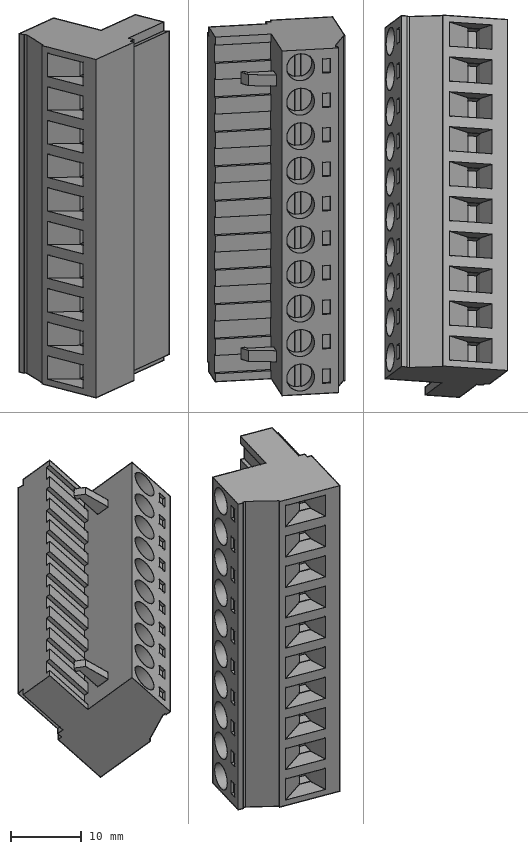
import cadquery as cq
import math


WIDTH = 15.1
DEPTH = 18.15
HEIGHT = 51.0

POLE_COUNT = 10
PITCH = 5.1

BODY_BACK = 10.1
SHOULDER_BACK = 9.0
LIP_Y = 2.0
LIP_WIDTH = 0.8
LIP_STEP = 0.2
SLOPE_START_X = 1.3
SLOPE_END_X = 5.55
SLOPE_END_Y = 0.25

PLUG_LEFT = 8.4
PLUG_RIGHT = 14.45
RAIL_WIDTH = 0.95
RAIL_START_Y = 9.8
RAIL_END_GAP = 1.35
RAIL_END_RISE = 0.2
GROOVE_HEIGHT = 2.7
GROOVE_DEPTH = 0.6

ENTRY_SPAN = 45.6
ENTRY_PITCH = ENTRY_SPAN / (POLE_COUNT - 1)
ENTRY_HEIGHT = 3.5
ENTRY_LEFT = 6.5
ENTRY_RIGHT = 12.8
THROAT_LEFT = 10.1
THROAT_RIGHT = 11.9
FUNNEL_DEPTH = 2.85
THROAT_DEPTH = 4.6
THROAT_STEP = 0.05

SCREW_Y = 7.45
SCREW_HOLE_DIAMETER = 4.0
SCREW_RECESS = 2.05
DRIVE_SLOT_WIDTH = 0.85
DRIVE_SLOT_DEPTH = 0.25
TEST_SLOT_Y = 3.7
TEST_SLOT_WIDTH = 1.1
TEST_SLOT_HEIGHT = 2.1
TEST_SLOT_DEPTH = 0.4

LATCH_HEIGHT = 1.65
LATCH_DROP = 0.6
LATCH_BASE_LEFT = 4.55
LATCH_BACK_X = 6.55
LATCH_KNEE = (5.4, 13.9)
LATCH_TIP = (6.8, 14.8)
LATCH_HOOK = (7.1, 14.25)
LATCH_HOOK_ROOT_Y = 13.85


def row_heights(pitch):
    """Heights of one feature per pole, evenly spaced about mid-height."""
    return [(i - (POLE_COUNT - 1) / 2) * pitch for i in range(POLE_COUNT)]


def prism(points, height, z_centre=0.0):
    """Extrude an XY outline, centred on a height."""
    base = cq.Workplane("XY").workplane(offset=z_centre - height / 2)
    return base.polyline(points).close().extrude(height)


def box(x_range, y_range, height, z_centre=0.0):
    """Box from its X limits, Y limits and height, centred on a height."""
    (x0, x1), (y0, y1) = x_range, y_range
    return prism([(x0, y0), (x1, y0), (x1, y1), (x0, y1)], height, z_centre)


def make_body():
    """Housing and plug as one outline."""
    return prism(
        [
            (0, LIP_Y),
            (LIP_WIDTH, LIP_Y),
            (LIP_WIDTH, LIP_Y + LIP_STEP),
            (SLOPE_START_X, LIP_Y + LIP_STEP),
            (SLOPE_END_X, SLOPE_END_Y),
            (SLOPE_END_X, 0),
            (WIDTH, 0),
            (WIDTH, SHOULDER_BACK),
            (PLUG_RIGHT, SHOULDER_BACK),
            (PLUG_RIGHT, DEPTH),
            (PLUG_LEFT, DEPTH),
            (PLUG_LEFT, BODY_BACK),
            (0, BODY_BACK),
        ],
        HEIGHT,
    )


def make_rail_end_gap():
    """Gap above the top end of the rail, floored by an arc that starts level at the plug."""
    radius = (RAIL_WIDTH**2 + RAIL_END_RISE**2) / (2 * RAIL_END_RISE)
    half_angle = math.asin(RAIL_WIDTH / radius) / 2
    inner_x = PLUG_RIGHT - RAIL_WIDTH
    floor_z = HEIGHT / 2 - RAIL_END_GAP
    arc_middle = (
        inner_x + radius * math.sin(half_angle),
        floor_z + radius * (1 - math.cos(half_angle)),
    )
    return (
        cq.Workplane("XZ", origin=(0, DEPTH, 0))
        .moveTo(inner_x, floor_z)
        .threePointArc(arc_middle, (PLUG_RIGHT, floor_z + RAIL_END_RISE))
        .lineTo(PLUG_RIGHT, HEIGHT / 2)
        .lineTo(inner_x, HEIGHT / 2)
        .close()
        .extrude(DEPTH - RAIL_START_Y)
    )


def make_latch(z_centre):
    """Tapered latch arm with a hooked tip turned towards the plug."""
    outline = [
        (LATCH_BASE_LEFT, BODY_BACK),
        LATCH_KNEE,
        LATCH_TIP,
        LATCH_HOOK,
        (LATCH_BACK_X, LATCH_HOOK_ROOT_Y),
        (LATCH_BACK_X, BODY_BACK),
    ]
    return prism(outline, LATCH_HEIGHT, z_centre)


def make_wire_entry(z_centre):
    """Funnel narrowing sideways into a slightly lower throat."""
    funnel = prism(
        [
            (ENTRY_LEFT, 0),
            (ENTRY_RIGHT, 0),
            (THROAT_RIGHT, FUNNEL_DEPTH),
            (THROAT_LEFT, FUNNEL_DEPTH),
        ],
        ENTRY_HEIGHT,
        z_centre,
    )
    throat_height = ENTRY_HEIGHT - 2 * THROAT_STEP
    throat = box((THROAT_LEFT, THROAT_RIGHT), (FUNNEL_DEPTH, THROAT_DEPTH), throat_height, z_centre)
    return funnel.union(throat)


def make_screw_recess(z_centre):
    """Round recess down to the screw head, with the drive slot cut across the head."""
    hole = (
        cq.Workplane("YZ")
        .center(SCREW_Y, z_centre)
        .circle(SCREW_HOLE_DIAMETER / 2)
        .extrude(SCREW_RECESS + DRIVE_SLOT_DEPTH)
    )
    recess_x = (0, SCREW_RECESS)
    slot_x = (SCREW_RECESS, SCREW_RECESS + DRIVE_SLOT_DEPTH)
    hole_y = (SCREW_Y - SCREW_HOLE_DIAMETER / 2, SCREW_Y + SCREW_HOLE_DIAMETER / 2)
    slot_y = (SCREW_Y - DRIVE_SLOT_WIDTH / 2, SCREW_Y + DRIVE_SLOT_WIDTH / 2)
    recess_space = box(recess_x, hole_y, SCREW_HOLE_DIAMETER, z_centre)
    slot_space = box(slot_x, slot_y, SCREW_HOLE_DIAMETER, z_centre)
    return hole.intersect(recess_space.union(slot_space))


def make_test_slot(z_centre):
    """Shallow rectangular recess beside the screw."""
    slot_y = (TEST_SLOT_Y - TEST_SLOT_WIDTH / 2, TEST_SLOT_Y + TEST_SLOT_WIDTH / 2)
    return box((0, TEST_SLOT_DEPTH), slot_y, TEST_SLOT_HEIGHT, z_centre)


def make_plug_groove(z_centre):
    """Groove along the screw side of the plug."""
    groove_x = (PLUG_LEFT, PLUG_LEFT + GROOVE_DEPTH)
    return box(groove_x, (BODY_BACK, DEPTH), GROOVE_HEIGHT, z_centre)


result = make_body()

rail_end_gap = make_rail_end_gap()
result = result.cut(rail_end_gap).cut(rail_end_gap.mirror("XY"))

for z in row_heights(ENTRY_PITCH):
    result = result.cut(make_wire_entry(z))

pole_heights = row_heights(PITCH)
for z in pole_heights:
    result = result.cut(make_screw_recess(z))
    result = result.cut(make_test_slot(z))
    result = result.cut(make_plug_groove(z))

for pole_below_joint in (pole_heights[0], pole_heights[-2]):
    joint = pole_below_joint + PITCH / 2
    result = result.union(make_latch(joint - LATCH_DROP))

result = result.translate((-WIDTH / 2, -DEPTH / 2, 0))